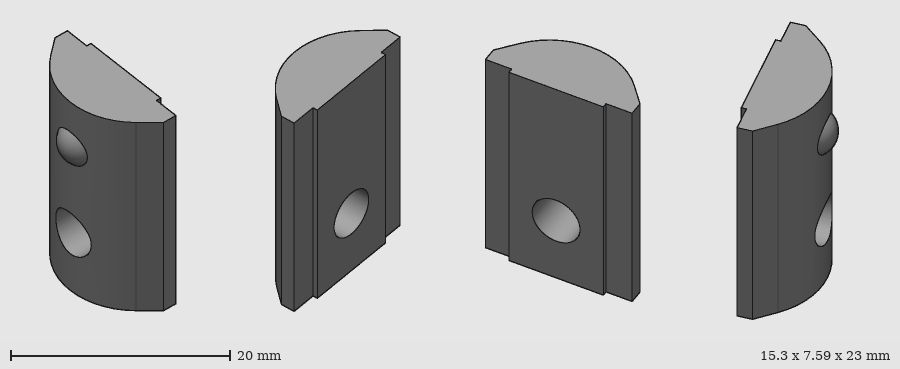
import cadquery as cq
import math

width = 15.3
length = 23.0
body_depth = 6.67
ball_protrusion = 0.92

tongue_width = 9.85
tongue_height = 0.5
side_depth = 1.5
crown_radius = 7.94

hole_diameter = 5.0
hole_height = 7.0
ball_diameter = 4.83
ball_height = 17.48

shoulder_y = body_depth - tongue_height
side_end_y = shoulder_y - side_depth

side_end_to_center = crown_radius - side_end_y
side_end_angle = math.atan2(width / 2, side_end_to_center)
side_end_distance = math.hypot(width / 2, side_end_to_center)
flank_angle = side_end_angle - math.acos(crown_radius / side_end_distance)
crown_end_x = crown_radius * math.sin(flank_angle)
crown_end_y = crown_radius * (1 - math.cos(flank_angle))


def make_body():
    """Extrude the tongued, round-sided cross-section along Z."""
    half_width = width / 2
    half_tongue = tongue_width / 2
    return (
        cq.Workplane("XY")
        .moveTo(-half_tongue, body_depth)
        .lineTo(-half_tongue, shoulder_y)
        .lineTo(-half_width, shoulder_y)
        .lineTo(-half_width, side_end_y)
        .lineTo(-crown_end_x, crown_end_y)
        .threePointArc((0, 0), (crown_end_x, crown_end_y))
        .lineTo(half_width, side_end_y)
        .lineTo(half_width, shoulder_y)
        .lineTo(half_tongue, shoulder_y)
        .lineTo(half_tongue, body_depth)
        .close()
        .extrude(length)
    )


def make_hole():
    """Cylinder along Y that passes through the whole body."""
    return (
        cq.Workplane("XZ", origin=(0, body_depth, hole_height))
        .circle(hole_diameter / 2)
        .extrude(body_depth)
    )


def make_ball():
    """Ball sunk into the crown so that only its cap stands out."""
    ball_radius = ball_diameter / 2
    ball_center_y = ball_radius - ball_protrusion
    return cq.Workplane("XY").sphere(ball_radius).translate((0, ball_center_y, ball_height))


result = make_body().cut(make_hole()).union(make_ball())